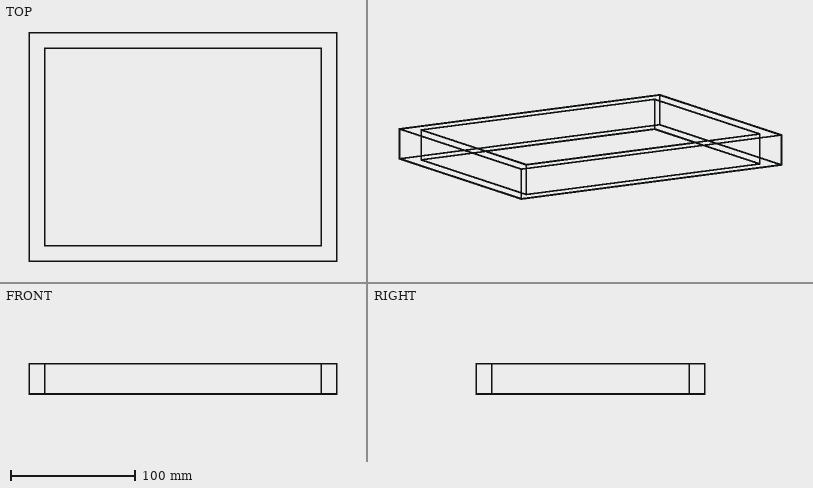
import cadquery as cq

LENGTH = 247.65
WIDTH = 184.15
HEIGHT = 24.61

BORDER = 12.7


def rectangular_frame():
    """Upright rectangular ring, centred on the origin, open from top to bottom."""
    opening_length = LENGTH - 2 * BORDER
    opening_width = WIDTH - 2 * BORDER
    outer_block = cq.Workplane("XY").box(LENGTH, WIDTH, HEIGHT)
    opening = cq.Workplane("XY").box(opening_length, opening_width, HEIGHT)
    return outer_block.cut(opening)


result = rectangular_frame()